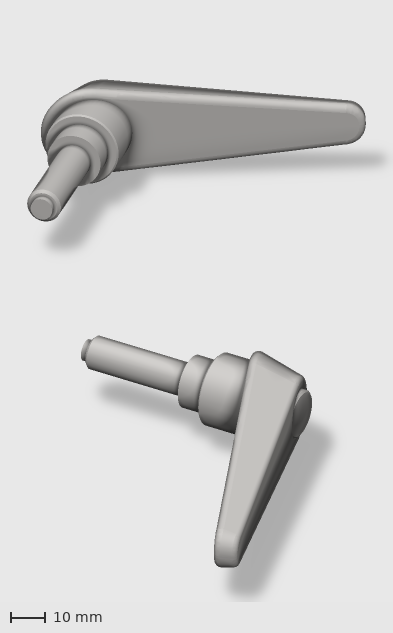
import cadquery as cq
import math


draft_angle = 13.0
side_angle = 1.15
big_end_radius = 16.6
lower_angle = 20.0
lower_height = 10.8
upper_angle = 13.5
upper_height = 27.0
tip_line_x = 74.5
tip_line_y = 37.9
tip_angle = 18.0
tip_flat = 0.8
lower_edge_radius = 2.0
upper_edge_radius = 1.5

hub_diameter = 22.0
hub_height = 17.7
hub_chamfer = 0.4

head_diameter = 14.5
head_top = 28.1
head_chamfer = 0.5
collar_diameter = 15.9
collar_length = 8.0
stud_diameter = 10.1
stud_length = 32.0
stud_chamfer = 0.8
pin_diameter = 6.5
pin_length = 1.95

blank_length = 88.55
blank_height = 53.1
blank_width = 44.3


def plane_at(y):
    """Plane across the clamping axis, with its normal along +Y."""
    return cq.Plane(origin=(0, y, 0), xDir=(1, 0, 0), normal=(0, 1, 0))


def cylinder(diameter, y_start, y_end):
    """Cylinder on the clamping axis between two heights."""
    return cq.Workplane(plane_at(y_start)).circle(diameter / 2).extrude(y_end - y_start)


def paddle_outline(y):
    """Outline of the arm at one height: round big end, converging sides and rounded tip corners."""
    side = math.radians(side_angle)
    radius = big_end_radius - y * math.tan(math.radians(draft_angle))
    tip_x = tip_line_x + (tip_line_y - y) * math.tan(math.radians(tip_angle))
    tangent_x = radius * math.sin(side)
    tangent_z = radius * math.cos(side)
    corner_z = tangent_z - (tip_x - tangent_x) * math.tan(side)
    flat_z = tip_flat / 2
    setback = corner_z - flat_z
    round_x = tip_x - setback * math.cos(side)
    round_z = corner_z + setback * math.sin(side)
    return (
        cq.Workplane(plane_at(y))
        .moveTo(tangent_x, tangent_z)
        .lineTo(round_x, round_z)
        .tangentArcPoint((tip_x, flat_z), relative=False)
        .lineTo(tip_x, -flat_z)
        .tangentArcPoint((round_x, -round_z), relative=False)
        .lineTo(tangent_x, -tangent_z)
        .threePointArc((-radius, 0), (tangent_x, tangent_z))
        .wire()
        .val()
    )


def drafted_blank():
    """Tall tapered paddle; both ends and the sides are ruled between two outlines."""
    return cq.Workplane(cq.Solid.makeLoft([paddle_outline(0), paddle_outline(blank_height)], True))


def arm_profile():
    """Side profile of the arm between its two sloping faces."""
    lower_slope = math.tan(math.radians(lower_angle))
    upper_slope = math.tan(math.radians(upper_angle))
    back_x = -blank_width / 2
    return (
        cq.Workplane("XY")
        .moveTo(back_x, lower_height + lower_slope * back_x)
        .lineTo(blank_length, lower_height + lower_slope * blank_length)
        .lineTo(blank_length, upper_height + upper_slope * blank_length)
        .lineTo(back_x, upper_height + upper_slope * back_x)
        .close()
        .extrude(blank_width / 2, both=True)
    )


def sloping_face(angle):
    """Selector for the flat arm face with the given slope."""
    slope = math.radians(angle)
    return cq.selectors.ParallelDirSelector(cq.Vector(-math.sin(slope), math.cos(slope), 0))


def lever_arm():
    """Arm trimmed to its sloping faces, with rounded edges around both."""
    arm = drafted_blank().intersect(arm_profile())
    arm = arm.faces(sloping_face(lower_angle)).edges().fillet(lower_edge_radius)
    return arm.faces(sloping_face(upper_angle)).edges().fillet(upper_edge_radius)


def make_handle():
    """Lever arm and hub with a through bore for the insert."""
    hub = cylinder(hub_diameter, 0, hub_height).faces("<Y").chamfer(hub_chamfer)
    return lever_arm().union(hub).cut(cylinder(head_diameter, 0, blank_height))


def make_insert():
    """Threaded insert: head in the handle bore, collar, stud and end pin."""
    collar_end = -collar_length
    stud_end = collar_end - stud_length
    head = cylinder(head_diameter, 0, head_top).faces(">Y").chamfer(head_chamfer)
    collar = cylinder(collar_diameter, collar_end, 0)
    stud = cylinder(stud_diameter, stud_end, collar_end).faces("<Y").chamfer(stud_chamfer)
    pin = cylinder(pin_diameter, stud_end - pin_length, stud_end)
    return head.union(collar).union(stud).union(pin)


handle = make_handle()
insert = make_insert()

result = cq.Compound.makeCompound([handle.val(), insert.val()])